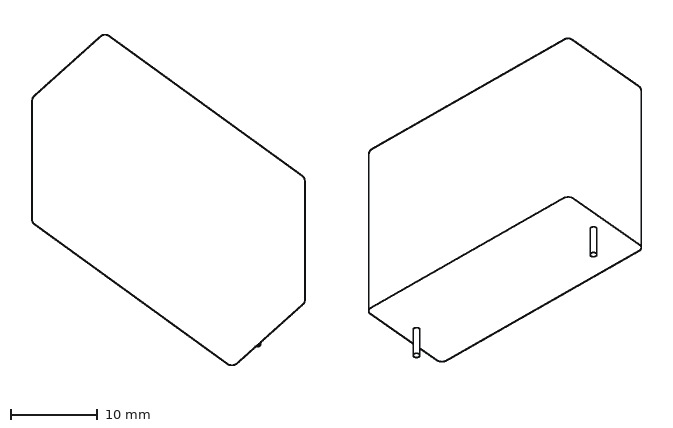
import cadquery as cq

case_length = 31.5
case_width = 13.0
total_height = 27.8
edge_radius = 0.8

lead_length = 3.8
lead_diameter = 0.8
lead_pitch = 27.5

case_height = total_height - lead_length


def make_case():
    """Box standing on Z = 0, rounded on every edge except around its flat base."""
    block = cq.Workplane("XY").box(case_length, case_width, case_height, centered=(True, True, False))
    return block.edges("|Z or >Z").fillet(edge_radius)


def make_lead(x):
    """Straight round wire hanging from the case base at the given X."""
    return cq.Workplane("XY").center(x, 0).circle(lead_diameter / 2).extrude(-lead_length)


case = make_case()
leads = [make_lead(side * lead_pitch / 2) for side in (-1, 1)]

result = cq.Compound.makeCompound([case.val(), *[lead.val() for lead in leads]])